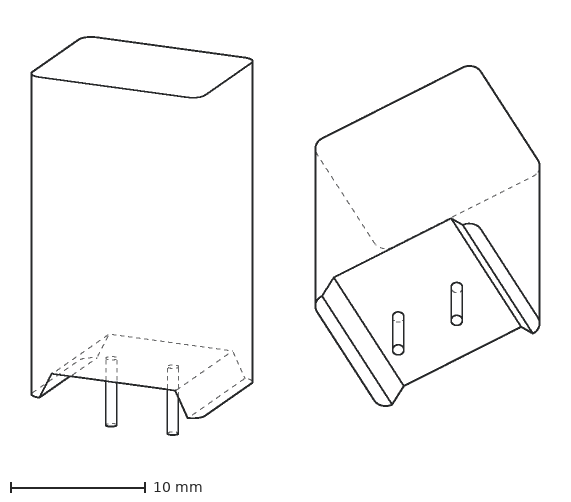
import cadquery as cq

total_height = 28.2
case_length = 14.0
case_width = 10.5
case_height = 24.99
corner_radius = 1.0

slot_depth = 2.0
slot_mouth = case_length - 2 * corner_radius
slot_roof = 10.0

pin_diameter = 0.85
pin_spacing = 5.0

pin_tip_z = -total_height / 2
case_bottom_z = total_height / 2 - case_height
slot_roof_z = case_bottom_z + slot_depth


def make_case():
    """Upright box with rounded corners, standing on a foot at each end."""
    block = (
        cq.Workplane("XY", origin=(0, 0, case_bottom_z))
        .rect(case_length, case_width)
        .extrude(case_height)
        .edges("|Z")
        .fillet(corner_radius)
    )
    slot = (
        cq.Workplane("XZ")
        .polyline([
            (-slot_mouth / 2, case_bottom_z),
            (slot_mouth / 2, case_bottom_z),
            (slot_roof / 2, slot_roof_z),
            (-slot_roof / 2, slot_roof_z),
        ])
        .close()
        .extrude(case_width / 2, both=True)
    )
    return block.cut(slot)


def make_pin(x):
    """Round lead that reaches from its tip up to the slot roof."""
    return (
        cq.Workplane("XY", origin=(x, 0, pin_tip_z))
        .circle(pin_diameter / 2)
        .extrude(slot_roof_z - pin_tip_z)
    )


case = make_case()
pins = [make_pin(side * pin_spacing / 2) for side in (-1, 1)]

result = cq.Compound.makeCompound([case.val(), *[pin.val() for pin in pins]])